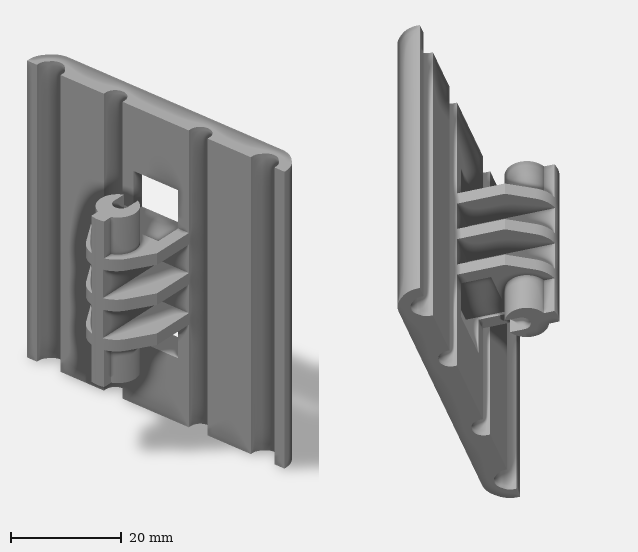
import cadquery as cq
import math


plate_width = 60.3
plate_height = 63.0
plate_thickness = 5.6

edge_reach = 5.1
edge_corner_offset = 0.55
edge_rounding_radius = edge_reach - edge_corner_offset
edge_center_x = plate_width / 2 - edge_reach
edge_center_y = plate_thickness - edge_reach
edge_wall = 2.3
outer_groove_rounding_radius = edge_rounding_radius - edge_wall

inner_groove_x = 9.95
inner_groove_radius = 2.2
inner_groove_center_y = 0.55

nose_radius = 5.55
nose_center_y = -11.15
nose_end_angle = math.radians(30)
rib_half_width = inner_groove_x - inner_groove_radius
rib_shoulder_y = -9.1
rib_thickness = 2.45
rib_pitch = 8.5
rib_stack_half_height = rib_pitch + rib_thickness / 2
web_width = 2.5

pin_center_y = -10.8
pin_radius = 4.05
pin_end_z = 17.6
pin_slot_width = 3.3
pin_slot_bottom_y = -11.45
pin_tab_width = 3.0

window_width = 10.5
window_height = 35.65
recess_width = 16.4
recess_floor_y = 2.45
rib_pocket_reach = 5.7
rib_pocket_depth = 0.6


def box_between(x_size, y_min, y_max, z_min, z_max):
    """Box centred on x = 0 between the given y and z limits."""
    box = cq.Workplane("XY").box(x_size, y_max - y_min, z_max - z_min, centered=(True, False, False))
    return box.translate((0, y_min, z_min))


def full_height_box(x_size, y_min, y_max):
    """Box as tall as the plate."""
    return box_between(x_size, y_min, y_max, -plate_height / 2, plate_height / 2)


def cylinder_between(x, y, radius, z_min, z_max):
    """Vertical cylinder between two heights."""
    return cq.Workplane("XY", origin=(x, y, z_min)).circle(radius).extrude(z_max - z_min)


def rounded_diamond_bar(x, rounding_radius):
    """Full-height bar cut off at the front face: a square standing on its corner, with rounded corners
    and straight sides running from its widest points to the front face."""
    half_width = edge_corner_offset + rounding_radius
    half_diagonal = edge_corner_offset + rounding_radius * math.sqrt(2)
    corners = [(half_diagonal, 0), (0, half_diagonal), (-half_diagonal, 0), (0, -half_diagonal)]
    diamond = (
        cq.Workplane("XY", origin=(x, edge_center_y, -plate_height / 2))
        .polyline(corners)
        .close()
        .extrude(plate_height)
        .edges("|Z")
        .fillet(rounding_radius)
    )
    straight_sides = full_height_box(2 * half_width, 0, edge_center_y).translate((x, 0, 0))
    behind_front_face = full_height_box(plate_width, 0, plate_thickness)
    return diamond.union(straight_sides).intersect(behind_front_face)


def inner_groove(x):
    """Round-bottomed groove cutter with straight sides down to the front face."""
    groove = cylinder_between(
        x, inner_groove_center_y, inner_groove_radius, -plate_height / 2, plate_height / 2
    )
    straight_sides = full_height_box(2 * inner_groove_radius, 0, inner_groove_center_y)
    return groove.union(straight_sides.translate((x, 0, 0)))


def grooved_plate():
    """Plate with curled side edges and four grooves in its front face."""
    plate = full_height_box(2 * edge_center_x, 0, plate_thickness)
    for side in (-1, 1):
        plate = plate.union(rounded_diamond_bar(side * edge_center_x, edge_rounding_radius))
        plate = plate.cut(rounded_diamond_bar(side * edge_center_x, outer_groove_rounding_radius))
        plate = plate.cut(inner_groove(side * inner_groove_x))
    return plate


def rib_prism(z_min, z_max):
    """Prism with the rib outline: straight sides, tapered shoulders and a round nose."""
    nose_end_x = nose_radius * math.cos(nose_end_angle)
    nose_end_y = nose_center_y - nose_radius * math.sin(nose_end_angle)
    return (
        cq.Workplane("XY", origin=(0, 0, z_min))
        .moveTo(-rib_half_width, 0)
        .lineTo(-rib_half_width, rib_shoulder_y)
        .lineTo(-nose_end_x, nose_end_y)
        .threePointArc((0, nose_center_y - nose_radius), (nose_end_x, nose_end_y))
        .lineTo(rib_half_width, rib_shoulder_y)
        .lineTo(rib_half_width, 0)
        .close()
        .extrude(z_max - z_min)
    )


def ribs_and_web():
    """Three equal ribs joined by a thin central web of the same reach."""
    web = box_between(
        web_width, nose_center_y - nose_radius, 0, -rib_stack_half_height, rib_stack_half_height
    )
    ribs = web.intersect(rib_prism(-rib_stack_half_height, rib_stack_half_height))
    for level in (-1, 0, 1):
        z = level * rib_pitch
        ribs = ribs.union(rib_prism(z - rib_thickness / 2, z + rib_thickness / 2))
    return ribs


def hinge_pin(z_min, z_max):
    """Round pin with a slot open towards the plate and a tab reaching the rib nose."""
    pin = cylinder_between(0, pin_center_y, pin_radius, z_min, z_max)
    tab = box_between(pin_tab_width, nose_center_y - nose_radius, pin_center_y, z_min, z_max)
    slot_radius = pin_slot_width / 2
    slot_center_y = pin_slot_bottom_y + slot_radius
    slot_end = cylinder_between(0, slot_center_y, slot_radius, z_min, z_max)
    slot = box_between(pin_slot_width, slot_center_y, 0, z_min, z_max)
    return pin.union(tab.intersect(rib_prism(z_min, z_max))).cut(slot_end).cut(slot)


def window_cutter():
    """Two window openings, each running into a shallow pocket in the outer rib, and the rear recess."""
    half_height = window_height / 2
    core_half_height = rib_stack_half_height - rib_pocket_depth
    cutter = box_between(recess_width, recess_floor_y, plate_thickness, -half_height, half_height)
    for z_min, z_max in ((core_half_height, half_height), (-half_height, -core_half_height)):
        cutter = cutter.union(box_between(window_width, -rib_pocket_reach, recess_floor_y, z_min, z_max))
    return cutter


body = grooved_plate().union(ribs_and_web()).cut(window_cutter())
upper_pin = hinge_pin(rib_stack_half_height, pin_end_z)
lower_pin = hinge_pin(-pin_end_z, -rib_stack_half_height)
result = body.union(upper_pin).union(lower_pin)